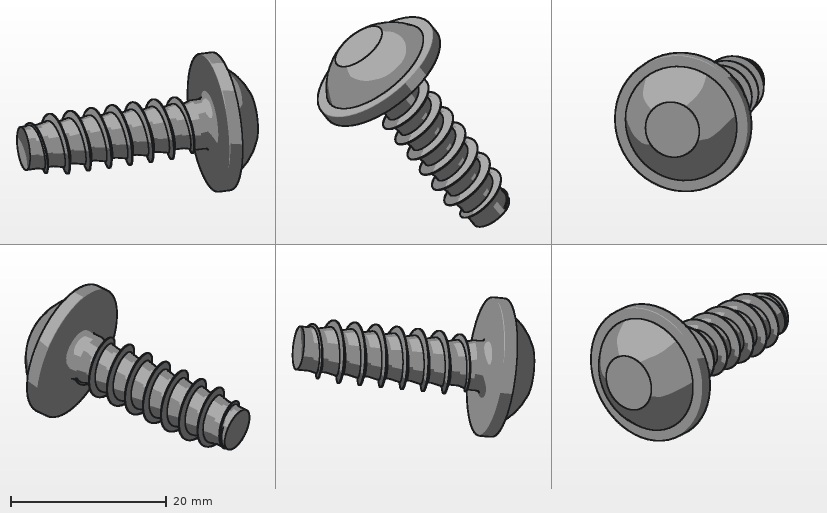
import cadquery as cq
import math


washer_radius = 9.0
washer_height = 1.8
washer_edge_fillet = 0.12
dome_base_radius = 7.53
dome_top_radius = 3.65
head_height = 5.57

total_length = 30.6
shank_length = total_length - head_height
neck_radius = 3.2
neck_fillet = 0.98
neck_end = -2.02
neck_cone_end = -3.3
core_radius = 2.8
tip_dish_radius = 2.65
tip_dish_depth = 0.2

lead_turns = 7
lead_length = 19.77
pitch = lead_length / lead_turns
crest_radius = 4.0
crest_width = 0.12
crest_y_at_turn_zero = -6.0
head_flank_width = 0.5
head_flank_break_offset = 0.25
head_flank_break_rise = 0.52
tip_flank_width = 0.37
tip_flank_root_rise = 0.3
root_taper_end = 1.77
thread_embed = 0.05
first_turn = -1.45
full_from_turn = -0.5
full_to_turn = 5.3
last_turn = 6.6
first_height_ratio = 0.5
last_height_ratio = 0.1
points_per_turn = 16
full_stretches = 6


def dome_radius_at(height):
    """Radius of the spherical dome at a height above its base."""
    top = head_height - washer_height
    center = (dome_top_radius**2 + top**2 - dome_base_radius**2) / (2 * top)
    sphere_squared = dome_base_radius**2 + center**2
    return math.sqrt(sphere_squared - (height - center) ** 2)


def dish_height_at(radius):
    """Height of the spherical tip dish above its rim at a given radius."""
    sphere_radius = (tip_dish_radius**2 + tip_dish_depth**2) / (2 * tip_dish_depth)
    return math.sqrt(sphere_radius**2 - radius**2) - (sphere_radius - tip_dish_depth)


def make_body():
    """Head, neck and plain core as one revolved profile."""
    dome_mid_height = (head_height - washer_height) / 2
    fillet_mid = neck_fillet * (1 - math.sqrt(0.5))
    edge = washer_edge_fillet
    edge_mid = edge * (1 - math.sqrt(0.5))
    profile = (
        cq.Workplane("XY")
        .moveTo(0, head_height)
        .lineTo(dome_top_radius, head_height)
        .threePointArc(
            (dome_radius_at(dome_mid_height), washer_height + dome_mid_height),
            (dome_base_radius, washer_height),
        )
        .lineTo(washer_radius - edge, washer_height)
        .threePointArc(
            (washer_radius - edge_mid, washer_height - edge_mid),
            (washer_radius, washer_height - edge),
        )
        .lineTo(washer_radius, edge)
        .threePointArc((washer_radius - edge_mid, edge_mid), (washer_radius - edge, 0))
        .lineTo(neck_radius + neck_fillet, 0)
        .threePointArc((neck_radius + fillet_mid, -fillet_mid), (neck_radius, -neck_fillet))
        .lineTo(neck_radius, neck_end)
        .lineTo(core_radius, neck_cone_end)
        .lineTo(core_radius, -shank_length)
        .lineTo(tip_dish_radius, -shank_length)
        .threePointArc(
            (tip_dish_radius / 2, dish_height_at(tip_dish_radius / 2) - shank_length),
            (0, tip_dish_depth - shank_length),
        )
        .close()
    )
    return profile.revolve(360, (0, 0, 0), (0, 1, 0))


def height_ratio(turn):
    """Thread height as a fraction of full height; it fades out at both ends."""
    if turn < full_from_turn:
        fade = (full_from_turn - turn) / (full_from_turn - first_turn)
        return 1 - fade * (1 - first_height_ratio)
    if turn > full_to_turn:
        fade = (turn - full_to_turn) / (last_turn - full_to_turn)
        return 1 - fade * (1 - last_height_ratio)
    return 1.0


crest_height = crest_radius - core_radius
flank_run_per_rise = (head_flank_width - head_flank_break_offset) / head_flank_break_rise
embedded_flank = head_flank_width + thread_embed * flank_run_per_rise
taper_run_per_rise = (root_taper_end - tip_flank_width) / tip_flank_root_rise
embedded_taper = root_taper_end + thread_embed * taper_run_per_rise

thread_section = [
    (-embedded_flank, -thread_embed),
    (-head_flank_break_offset, head_flank_break_rise),
    (-crest_width / 2, crest_height),
    (crest_width / 2, crest_height),
    (tip_flank_width, tip_flank_root_rise),
    (embedded_taper, -thread_embed),
]


def thread_point(corner, turn):
    """Position of one section corner at a given turn of the helix."""
    along, height = corner
    ratio = height_ratio(turn)
    radius = core_radius + height * (ratio if height > 0 else 1)
    angle = 2 * math.pi * turn
    return cq.Vector(
        radius * math.cos(angle),
        crest_y_at_turn_zero - pitch * turn - along * ratio,
        radius * math.sin(angle),
    )


def helix_edge(corner, start_turn, end_turn):
    """Path of one section corner over a stretch of the helix."""
    steps = math.ceil((end_turn - start_turn) * points_per_turn)
    turn_step = (end_turn - start_turn) / steps
    points = [thread_point(corner, start_turn + turn_step * i) for i in range(steps + 1)]
    return cq.Edge.makeSpline(points, parameters=[float(i) for i in range(steps + 1)])


def make_thread():
    """Right-handed thread ridge: ruled faces in short stretches, with flat ends."""
    full_step = (full_to_turn - full_from_turn) / full_stretches
    stretch_limits = [full_from_turn + full_step * i for i in range(full_stretches + 1)]
    stretch_limits = [first_turn] + stretch_limits + [last_turn]

    faces = []
    for start_turn, end_turn in zip(stretch_limits, stretch_limits[1:]):
        edges = [helix_edge(corner, start_turn, end_turn) for corner in thread_section]
        next_edges = edges[1:] + edges[:1]
        faces += [cq.Face.makeRuledSurface(edge, other) for edge, other in zip(edges, next_edges)]
    for turn in (first_turn, last_turn):
        corners = [thread_point(corner, turn) for corner in thread_section]
        faces.append(cq.Face.makeFromWires(cq.Wire.makePolygon(corners, close=True)))
    return cq.Solid.makeSolid(cq.Shell.makeShell(faces))


result = make_body().union(cq.Workplane(obj=make_thread())).solids()